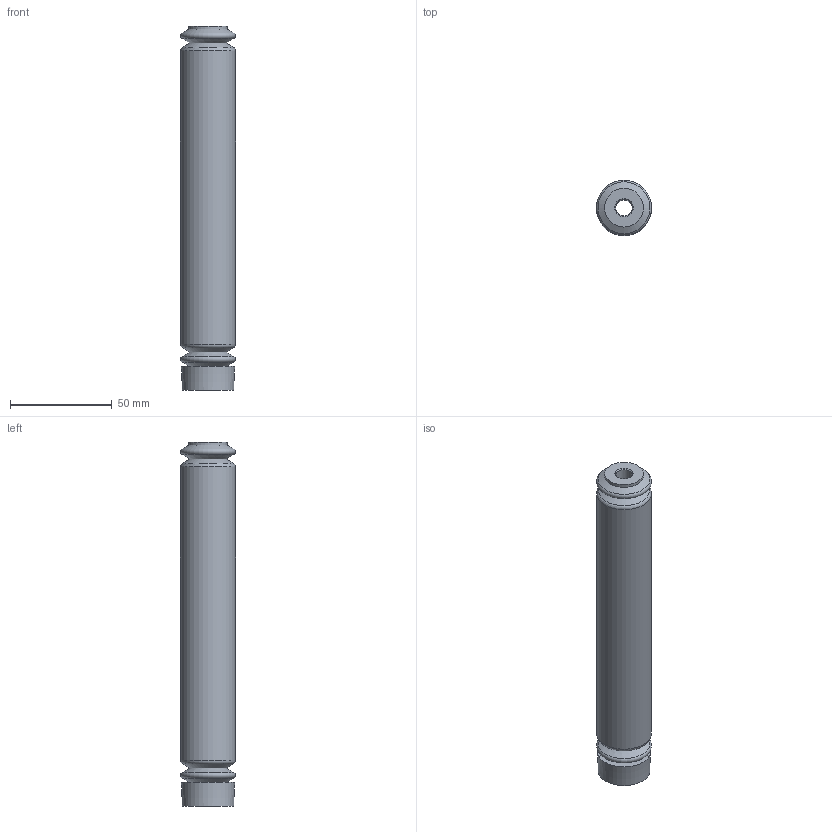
import cadquery as cq
import math

total_length = 178.6
body_radius = 27.0 / 2
bore_radius = 8.0 / 2
bore_mouth_radius = 9.0 / 2

flank_angle = math.radians(30)
body_edge_radius = 2.0
ridge_edge_radius = 1.5
groove_radius = 17.6 / 2

boss_radius = 19.0 / 2
boss_height = 1.6
neck_height = 0.25

collar_height = 11.6
collar_top_radius = 26.2 / 2
collar_waist_radius = 25.6 / 2
collar_bottom_radius = 25.4 / 2


def edge_drop(edge_radius):
    """Axial length of a rounded edge running from vertical to the flank."""
    return edge_radius * math.cos(flank_angle)


def edge_tangent_radius(edge_radius):
    """Radius at which a rounded edge becomes the conical flank."""
    return body_radius - edge_radius * (1 - math.sin(flank_angle))


def flank_length(edge_radius, inner_radius):
    """Axial length of the rounded edge and flank, down to inner_radius."""
    radial_depth = edge_tangent_radius(edge_radius) - inner_radius
    return edge_drop(edge_radius) + radial_depth * math.tan(flank_angle)


def edge_middle(edge_radius, edge_z, direction):
    """Point halfway along a rounded edge that meets the cylinder at edge_z."""
    half_angle = (math.pi / 2 - flank_angle) / 2
    radius = body_radius - edge_radius * (1 - math.cos(half_angle))
    return radius, edge_z + direction * edge_radius * math.sin(half_angle)


def ridge(outline, ridge_z, top_radius):
    """Add a rounded ridge and its upper flank to an outline at the ridge's lower flank."""
    rim_radius = edge_tangent_radius(ridge_edge_radius)
    drop = edge_drop(ridge_edge_radius)
    return (
        outline.lineTo(rim_radius, ridge_z - drop)
        .threePointArc((body_radius, ridge_z), (rim_radius, ridge_z + drop))
        .lineTo(top_radius, ridge_z + flank_length(ridge_edge_radius, top_radius))
    )


def body(outline, bottom_z, top_z):
    """Add the long cylinder with rounded edges and conical ends."""
    tangent_radius = edge_tangent_radius(body_edge_radius)
    drop = edge_drop(body_edge_radius)
    return (
        outline.lineTo(tangent_radius, bottom_z - drop)
        .threePointArc(edge_middle(body_edge_radius, bottom_z, -1), (body_radius, bottom_z))
        .lineTo(body_radius, top_z)
        .threePointArc(edge_middle(body_edge_radius, top_z, 1), (tangent_radius, top_z + drop))
        .lineTo(groove_radius, top_z + flank_length(body_edge_radius, groove_radius))
    )


def turned_profile():
    """Half section of the solid turned shape, from the bottom end to the top."""
    ridge_flank = flank_length(ridge_edge_radius, groove_radius)
    body_flank = flank_length(body_edge_radius, groove_radius)
    ridge_to_body = ridge_flank + body_flank
    upper_ridge_z = total_length - boss_height - flank_length(ridge_edge_radius, boss_radius)
    neck_top_z = collar_height + neck_height
    lower_ridge_z = neck_top_z + flank_length(ridge_edge_radius, boss_radius)

    outline = (
        cq.Workplane("XZ")
        .lineTo(collar_bottom_radius, 0)
        .threePointArc((collar_waist_radius, collar_height / 2), (collar_top_radius, collar_height))
        .lineTo(boss_radius, collar_height)
        .lineTo(boss_radius, neck_top_z)
    )
    outline = ridge(outline, lower_ridge_z, groove_radius)
    outline = body(outline, lower_ridge_z + ridge_to_body, upper_ridge_z - ridge_to_body)
    outline = ridge(outline, upper_ridge_z, boss_radius)
    return outline.lineTo(boss_radius, total_length).lineTo(0, total_length).close()


def bore():
    """Through bore with a small chamfer at its top mouth."""
    chamfer = bore_mouth_radius - bore_radius
    return (
        cq.Workplane("XZ")
        .lineTo(bore_radius, 0)
        .lineTo(bore_radius, total_length - chamfer)
        .lineTo(bore_mouth_radius, total_length)
        .lineTo(0, total_length)
        .close()
        .revolve(360, (0, 0), (0, 1))
    )


result = turned_profile().revolve(360, (0, 0), (0, 1)).cut(bore())